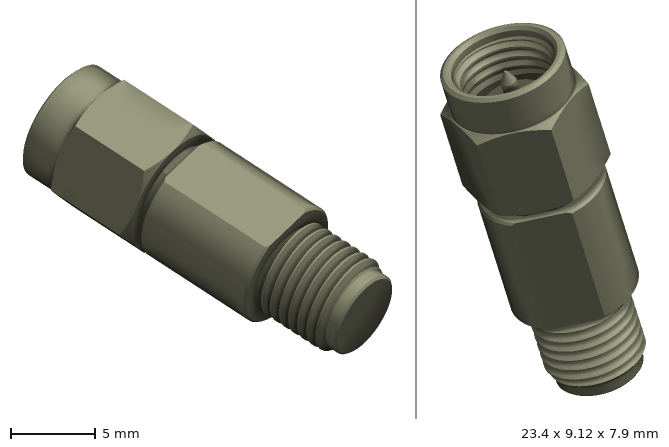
import cadquery as cq
import math


LENGTH = 23.35
HEX_START = 2.55
NUT_END = 8.6
SLEEVE_START = 9.3
SLEEVE_END = 17.37
THREAD_END = 22.55

HEX_ACROSS_FLATS = 7.9
HEX_CHAMFER_RADIUS = 3.92
HEX_CHAMFER_ANGLE = 30.0
COLLAR_RADIUS = 3.85
COLLAR_CHAMFER_DEPTH = 0.16
COLLAR_CHAMFER_HEIGHT = 0.23
MOUTH_RADIUS = 3.4
MOUTH_CHAMFER = 0.2
RELIEF_RADIUS = MOUTH_RADIUS - MOUTH_CHAMFER
RELIEF_END = 0.65
NUT_MINOR_RADIUS = 2.85
NUT_THREAD_END = 3.22

NECK_START = 4.2
NOSE_START = 3.04
NOSE_RADIUS = 2.29
NOSE_CHAMFER = 0.2
NECK_RADIUS = 3.15
NECK_ACROSS_FLATS = 5.98
SLEEVE_RADIUS = 3.97
SLEEVE_CHAMFER = 0.15
SLEEVE_ACROSS_FLATS = 7.0
TIP_RADIUS = 2.7
TIP_CHAMFER = 0.15

PITCH = 0.7
JACK_MAJOR_RADIUS = 3.13
JACK_ROOT_RADIUS = 2.66
JACK_CREST_WIDTH = 0.12
JACK_ROOT_WIDTH = 0.05
JACK_GROOVE_START = 17.12
JACK_GROOVE_TURNS = 8
NUT_ROOT_RADIUS = 3.13
NUT_ROOT_WIDTH = 0.1
NUT_CREST_WIDTH = 0.16
NUT_GROOVE_START = 0.51
NUT_GROOVE_TURNS = 4
GROOVE_OVERRUN = 0.07

PIN_START = 0.82
PIN_RADIUS = 0.5
PIN_TIP_RADIUS = 0.1
PIN_CONE_LENGTH = 0.72
PIN_END = NECK_START


def revolve_about_x(points):
    """Solid of revolution about the X axis from (x, radius) points."""
    return cq.Workplane("XY").polyline(points).close().revolve(360, (0, 0, 0), (1, 0, 0))


def cylinder(start, end, radius):
    return cq.Workplane("YZ").workplane(offset=start).circle(radius).extrude(end - start)


def flats(start, end, across_flats):
    """Slab that keeps the material between two flats facing +Z and -Z."""
    width = 3 * across_flats
    return cq.Workplane("YZ").workplane(offset=start).rect(width, across_flats).extrude(end - start)


def cut_thread(blank, start, turns, crest_radius, crest_width, root_radius, root_width):
    """Cut a right-handed thread about X into blank, one turn of its groove at a time."""
    crest_gap = PITCH - crest_width
    slope = (crest_gap - root_width) / 2 / abs(crest_radius - root_radius)
    outward = math.copysign(1, crest_radius - root_radius)
    open_radius = crest_radius + outward * GROOVE_OVERRUN
    open_half_width = crest_gap / 2 + slope * GROOVE_OVERRUN
    path = cq.Workplane(cq.Wire.makeHelix(PITCH, PITCH, root_radius))
    turn = (
        cq.Workplane("XZ")
        .polyline([
            (root_radius, -root_width / 2),
            (root_radius, root_width / 2),
            (open_radius, open_half_width),
            (open_radius, -open_half_width),
        ])
        .close()
        .sweep(path, isFrenet=True)
    )
    turn = turn.rotate((0, 0, 0), (0, 1, 0), 90)
    for index in range(turns):
        blank = blank.cut(turn.translate((start + index * PITCH, 0, 0)))
    return blank


def make_nut():
    corner_radius = HEX_ACROSS_FLATS / math.sqrt(3)
    corner_depth = (corner_radius - HEX_CHAMFER_RADIUS) * math.tan(math.radians(HEX_CHAMFER_ANGLE))
    hexagon = (
        cq.Workplane("YZ").workplane(offset=HEX_START)
        .polygon(6, 2 * corner_radius).extrude(NUT_END - HEX_START)
    )
    hexagon = hexagon.intersect(revolve_about_x([
        (HEX_START, 0),
        (HEX_START, HEX_CHAMFER_RADIUS),
        (HEX_START + corner_depth, corner_radius),
        (NUT_END - corner_depth, corner_radius),
        (NUT_END, HEX_CHAMFER_RADIUS),
        (NUT_END, 0),
    ]))
    collar = revolve_about_x([
        (0, 0),
        (0, COLLAR_RADIUS - COLLAR_CHAMFER_HEIGHT),
        (COLLAR_CHAMFER_DEPTH, COLLAR_RADIUS),
        (HEX_START, COLLAR_RADIUS),
        (HEX_START, 0),
    ])
    lead_in_length = RELIEF_RADIUS - NUT_MINOR_RADIUS
    bore = revolve_about_x([
        (0, 0),
        (0, MOUTH_RADIUS),
        (MOUTH_CHAMFER, RELIEF_RADIUS),
        (RELIEF_END, RELIEF_RADIUS),
        (RELIEF_END + lead_in_length, NUT_MINOR_RADIUS),
        (NUT_THREAD_END, NUT_MINOR_RADIUS),
        (NUT_THREAD_END, NECK_RADIUS),
        (NUT_END, NECK_RADIUS),
        (NUT_END, 0),
    ])
    return cut_thread(
        hexagon.union(collar).cut(bore), NUT_GROOVE_START, NUT_GROOVE_TURNS,
        NUT_MINOR_RADIUS, NUT_CREST_WIDTH, NUT_ROOT_RADIUS, NUT_ROOT_WIDTH,
    )


def make_jack_thread():
    runout_length = JACK_MAJOR_RADIUS - TIP_RADIUS
    blank = revolve_about_x([
        (SLEEVE_END, 0),
        (SLEEVE_END, JACK_MAJOR_RADIUS),
        (THREAD_END - runout_length, JACK_MAJOR_RADIUS),
        (THREAD_END, TIP_RADIUS),
        (THREAD_END, 0),
    ])
    return cut_thread(
        blank, JACK_GROOVE_START, JACK_GROOVE_TURNS,
        JACK_MAJOR_RADIUS, JACK_CREST_WIDTH, JACK_ROOT_RADIUS, JACK_ROOT_WIDTH,
    )


def make_body():
    nose = cylinder(NOSE_START, NECK_START, NOSE_RADIUS).faces("<X").chamfer(NOSE_CHAMFER)
    neck = cylinder(NECK_START, SLEEVE_START, NECK_RADIUS)
    neck = neck.intersect(flats(NECK_START, SLEEVE_START, NECK_ACROSS_FLATS))
    sleeve = cylinder(SLEEVE_START, SLEEVE_END, SLEEVE_RADIUS).faces("<X or >X").chamfer(SLEEVE_CHAMFER)
    sleeve = sleeve.intersect(flats(SLEEVE_START, SLEEVE_END, SLEEVE_ACROSS_FLATS))
    tip = cylinder(THREAD_END, LENGTH, TIP_RADIUS).faces(">X").chamfer(TIP_CHAMFER)
    body = nose.union(neck).union(sleeve).union(make_jack_thread()).union(tip)
    return body.cut(cylinder(NOSE_START, PIN_END, PIN_RADIUS))


def make_pin():
    return revolve_about_x([
        (PIN_START, 0),
        (PIN_START, PIN_TIP_RADIUS),
        (PIN_START + PIN_CONE_LENGTH, PIN_RADIUS),
        (PIN_END, PIN_RADIUS),
        (PIN_END, 0),
    ])


nut = make_nut()
body = make_body()
pin = make_pin()

result = cq.Compound.makeCompound([nut.val(), body.val(), pin.val()])